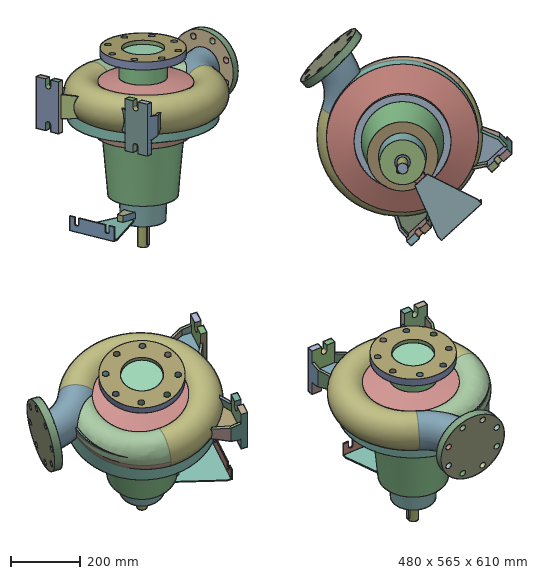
import cadquery as cq
import math


OVERALL_HEIGHT = 610.0
VOLUTE_WIDTH = 480.0
SUCTION_FACE_Z = 139.5
SHAFT_END_Z = SUCTION_FACE_Z - OVERALL_HEIGHT
DISCHARGE_FACE_Y = 315.0
MOUNTING_Y = -250.0

FLANGE_THICKNESS = 24.5
BOLT_COUNT = 8
BOLT_HOLE_DIAMETER = 19.0
SUCTION_FLANGE_RADIUS = 125.0
SUCTION_BOLT_CIRCLE_RADIUS = 105.0
SUCTION_BORE_RADIUS = 62.0
SUCTION_BORE_DEPTH = 13.0
DISCHARGE_FLANGE_RADIUS = 110.0
DISCHARGE_BOLT_CIRCLE_RADIUS = 90.0

TUBE_RADIUS = 57.5
SPIRAL_CENTER_X = 11.0
SPIRAL_RADIUS = VOLUTE_WIDTH / 2 - TUBE_RADIUS
TONGUE_TUBE_RADIUS = 45.0
TONGUE_ANGLE = 60.0
TONGUE_SECTIONS = 5

NECK_RADIUS = 70.0
CASING_RADIUS = 220.0
CASING_CONE_TOP_Z = 49.0
CASING_RIM_TOP_Z = 24.0
CASING_RIM_BOTTOM_Z = -75.5
COVER_RADIUS = 140.0
COVER_TOP_Z = -105.5
COVER_BOTTOM_Z = -122.5
HOUSING_TOP_RADIUS = 119.5
HOUSING_BOTTOM_RADIUS = 102.5
HOUSING_BOTTOM_Z = -312.5
BEARING_TOP_RADIUS = 69.5
BEARING_BOTTOM_RADIUS = 66.5
BEARING_BOTTOM_Z = -388.5
SLEEVE_RADIUS = 22.5
SLEEVE_BOTTOM_Z = -390.5
SHAFT_RADIUS = 16.0

KEY_OUTER_X = 20.0
KEY_WIDTH = 10.0
KEY_TOP_Z = -393.0
KEY_BOTTOM_Z = -464.0

FOOT_INNER_X = 120.0
FOOT_OUTER_X = 200.0
FOOT_HALF_HEIGHT = 80.0
FOOT_THICKNESS = 20.0
FOOT_SLOT_X = 157.5
FOOT_SLOT_WIDTH = 18.0
FOOT_SLOT_DEPTH = 29.0
BRACKET_THICKNESS = 8.0
BRACKET_HALF_HEIGHT = 36.5
BRACKET_TAPER_ANGLE = 10.0
OUTER_WALL_BEND_Y = -198.0
OUTER_WALL_ANGLE = 65.0
OUTER_WALL_LENGTH = 97.5
INNER_WALL_ANGLE = 30.0
INNER_WALL_LENGTH = 73.0

SUPPORT_HALF_WIDTH = 80.0
SUPPORT_TOP_Z = -324.0
SUPPORT_BOTTOM_Z = -368.5
SHEET_THICKNESS = 4.0
SUPPORT_SLOT_X = 55.0
SUPPORT_SLOT_WIDTH = 14.5
SUPPORT_SLOT_DEPTH = 25.0
SHEET_TAPER_START_Y = -233.5
SHEET_TIP_Y = -78.5
SHEET_TIP_HALF_WIDTH = 25.0
LUG_TOP_Z = -344.0
LUG_ROOT_Y = -64.0
LUG_ROOT_HALF_WIDTH = 20.0
LUG_TIP_Y = -112.0
LUG_TIP_HALF_WIDTH = 10.0


def flange(radius, bolt_circle_radius):
    """Flange disc with its bolt holes astride the centre lines, from Z = 0 upwards."""
    return (
        cq.Workplane("XY")
        .circle(radius)
        .extrude(FLANGE_THICKNESS)
        .faces(">Z")
        .workplane()
        .polarArray(bolt_circle_radius, 180 / BOLT_COUNT, 360, BOLT_COUNT)
        .hole(BOLT_HOLE_DIAMETER)
    )


def rotating_body():
    """Suction neck, casing, bearing housing and shaft as one turned profile."""
    profile = [
        (0, SUCTION_FACE_Z - FLANGE_THICKNESS),
        (NECK_RADIUS, SUCTION_FACE_Z - FLANGE_THICKNESS),
        (NECK_RADIUS, CASING_CONE_TOP_Z),
        (CASING_RADIUS, CASING_RIM_TOP_Z),
        (CASING_RADIUS, CASING_RIM_BOTTOM_Z),
        (COVER_RADIUS, COVER_TOP_Z),
        (COVER_RADIUS, COVER_BOTTOM_Z),
        (HOUSING_TOP_RADIUS, COVER_BOTTOM_Z),
        (HOUSING_BOTTOM_RADIUS, HOUSING_BOTTOM_Z),
        (BEARING_TOP_RADIUS, HOUSING_BOTTOM_Z),
        (BEARING_BOTTOM_RADIUS, BEARING_BOTTOM_Z),
        (SLEEVE_RADIUS, BEARING_BOTTOM_Z),
        (SLEEVE_RADIUS, SLEEVE_BOTTOM_Z),
        (SHAFT_RADIUS, SLEEVE_BOTTOM_Z),
        (SHAFT_RADIUS, SHAFT_END_Z),
        (0, SHAFT_END_Z),
    ]
    return cq.Workplane("XZ").polyline(profile).close().revolve(360, (0, 0), (0, 1))


def shaft_key():
    """Round-ended key standing out of the +X side of the shaft."""
    length = KEY_TOP_Z - KEY_BOTTOM_Z
    return (
        cq.Workplane("YZ")
        .center(0, (KEY_TOP_Z + KEY_BOTTOM_Z) / 2)
        .slot2D(length, KEY_WIDTH, 90)
        .extrude(KEY_OUTER_X)
    )


def tube_bend(center_x, center_y, bend_radius, start_angle, sweep_angle):
    """Length of volute tube bent about a vertical axis, with angles in degrees from +X."""
    return (
        cq.Workplane("XZ")
        .center(bend_radius, 0)
        .circle(TUBE_RADIUS)
        .revolve(sweep_angle, (-bend_radius, 0), (-bend_radius, 1))
        .rotate((0, 0, 0), (0, 0, 1), start_angle)
        .translate((center_x, center_y, 0))
    )


def volute_tube():
    """Round tube: half a turn, on to the outlet bend, then an opposite bend to the discharge."""
    start_x = SPIRAL_CENTER_X + SPIRAL_RADIUS
    center_distance = (start_x**2 + DISCHARGE_FACE_Y**2) / (2 * start_x)
    outlet_radius = center_distance - SPIRAL_RADIUS
    touch_angle = math.degrees(math.asin(DISCHARGE_FACE_Y / center_distance))
    spiral = tube_bend(SPIRAL_CENTER_X, 0, SPIRAL_RADIUS, 180, 180 + touch_angle)
    outlet = tube_bend(outlet_radius, DISCHARGE_FACE_Y, outlet_radius, 180, touch_angle)
    return spiral.union(outlet)


def volute_tongue():
    """Narrowing start of the volute, from the half-turn tube round to the outlet bend."""
    path_radius = SPIRAL_RADIUS - SPIRAL_CENTER_X
    sections = []
    for i in range(TONGUE_SECTIONS):
        fraction = i / (TONGUE_SECTIONS - 1)
        angle = math.radians(180 + fraction * (TONGUE_ANGLE - 180))
        radius = TUBE_RADIUS + fraction * (TONGUE_TUBE_RADIUS - TUBE_RADIUS)
        center = cq.Vector(path_radius * math.cos(angle), path_radius * math.sin(angle), 0)
        direction = cq.Vector(math.sin(angle), -math.cos(angle), 0)
        sections.append(cq.Wire.makeCircle(radius, center, direction))
    return cq.Workplane(cq.Solid.makeLoft(sections))


def end_slot(x, end_z, depth, width, thickness):
    """Cutter for a round-bottomed slot in a mounting plate, open at Z = end_z.

    A positive depth runs down from the end and a negative one runs up.
    """
    toward_open = math.copysign(1, depth)
    arc_z = end_z - depth + toward_open * width / 2
    channel_height = abs(end_z - arc_z)
    plane = cq.Workplane("XZ", origin=(0, MOUNTING_Y + thickness, 0))
    channel = plane.center(x, (end_z + arc_z) / 2).rect(width, channel_height).extrude(thickness)
    return channel.union(plane.center(x, arc_z).circle(width / 2).extrude(thickness))


def casing_foot():
    """Foot on the +X side: slotted plate and a tapered walled bracket with a middle web."""
    plate_back_y = MOUNTING_Y + FOOT_THICKNESS
    plate = cq.Workplane("XY").box(
        FOOT_OUTER_X - FOOT_INNER_X, FOOT_THICKNESS, 2 * FOOT_HALF_HEIGHT
    )
    plate = plate.translate(
        ((FOOT_OUTER_X + FOOT_INNER_X) / 2, MOUNTING_Y + FOOT_THICKNESS / 2, 0)
    )
    for end in (1, -1):
        plate = plate.cut(
            end_slot(
                FOOT_SLOT_X,
                end * FOOT_HALF_HEIGHT,
                end * FOOT_SLOT_DEPTH,
                FOOT_SLOT_WIDTH,
                FOOT_THICKNESS,
            )
        )

    root_y = plate_back_y - BRACKET_THICKNESS
    outer_angle = math.radians(OUTER_WALL_ANGLE)
    inner_angle = math.radians(INNER_WALL_ANGLE)
    outline = (
        cq.Workplane("XY", origin=(0, 0, -BRACKET_HALF_HEIGHT))
        .moveTo(FOOT_INNER_X, root_y)
        .lineTo(FOOT_OUTER_X, root_y)
        .lineTo(FOOT_OUTER_X, OUTER_WALL_BEND_Y)
        .line(-OUTER_WALL_LENGTH * math.cos(outer_angle), OUTER_WALL_LENGTH * math.sin(outer_angle))
        .lineTo(
            FOOT_INNER_X - INNER_WALL_LENGTH * math.cos(inner_angle),
            root_y + INNER_WALL_LENGTH * math.sin(inner_angle),
        )
        .close()
    )
    block = outline.extrude(2 * BRACKET_HALF_HEIGHT)
    walls = block.faces("|Z").shell(-BRACKET_THICKNESS, "intersection")
    slab_width = OVERALL_HEIGHT
    web_slab = cq.Workplane("XY").box(slab_width, slab_width, BRACKET_THICKNESS)
    bracket = walls.union(block.intersect(web_slab))

    slope = math.tan(math.radians(BRACKET_TAPER_ANGLE))
    reach = BRACKET_HALF_HEIGHT / slope
    wedge = (
        cq.Workplane("YZ")
        .polyline(
            [
                (root_y, -BRACKET_HALF_HEIGHT),
                (plate_back_y, -BRACKET_HALF_HEIGHT),
                (plate_back_y + reach, 0),
                (plate_back_y, BRACKET_HALF_HEIGHT),
                (root_y, BRACKET_HALF_HEIGHT),
            ]
        )
        .close()
        .extrude(FOOT_OUTER_X)
    )
    return plate.union(bracket.intersect(wedge))


def tapered_plate(root_y, root_half_width, tip_y, tip_half_width, bottom_z, top_z):
    """Flat plate, symmetric about X = 0, whose width changes evenly from root to tip."""
    return (
        cq.Workplane("XY", origin=(0, 0, bottom_z))
        .polyline(
            [
                (-root_half_width, root_y),
                (root_half_width, root_y),
                (tip_half_width, tip_y),
                (-tip_half_width, tip_y),
            ]
        )
        .close()
        .extrude(top_z - bottom_z)
    )


def bearing_support():
    """Bent sheet under a lug on the bearing housing, with a slotted upright mounting edge."""
    sheet_top_z = SUPPORT_BOTTOM_Z + SHEET_THICKNESS
    upright = (
        cq.Workplane("XZ", origin=(0, MOUNTING_Y + SHEET_THICKNESS, 0))
        .center(0, (SUPPORT_TOP_Z + SUPPORT_BOTTOM_Z) / 2)
        .rect(2 * SUPPORT_HALF_WIDTH, SUPPORT_TOP_Z - SUPPORT_BOTTOM_Z)
        .extrude(SHEET_THICKNESS)
    )
    for x in (-SUPPORT_SLOT_X, SUPPORT_SLOT_X):
        upright = upright.cut(
            end_slot(x, SUPPORT_TOP_Z, SUPPORT_SLOT_DEPTH, SUPPORT_SLOT_WIDTH, SHEET_THICKNESS)
        )
    band = tapered_plate(
        MOUNTING_Y,
        SUPPORT_HALF_WIDTH,
        SHEET_TAPER_START_Y,
        SUPPORT_HALF_WIDTH,
        SUPPORT_BOTTOM_Z,
        sheet_top_z,
    )
    sheet = tapered_plate(
        SHEET_TAPER_START_Y,
        SUPPORT_HALF_WIDTH,
        SHEET_TIP_Y,
        SHEET_TIP_HALF_WIDTH,
        SUPPORT_BOTTOM_Z,
        sheet_top_z,
    )
    lug = tapered_plate(
        LUG_ROOT_Y, LUG_ROOT_HALF_WIDTH, LUG_TIP_Y, LUG_TIP_HALF_WIDTH, sheet_top_z, LUG_TOP_Z
    )
    return upright.union(band).union(sheet).union(lug)


suction_flange = flange(SUCTION_FLANGE_RADIUS, SUCTION_BOLT_CIRCLE_RADIUS).translate(
    (0, 0, SUCTION_FACE_Z - FLANGE_THICKNESS)
)
discharge_flange = (
    flange(DISCHARGE_FLANGE_RADIUS, DISCHARGE_BOLT_CIRCLE_RADIUS)
    .rotate((0, 0, 0), (1, 0, 0), -90)
    .translate((0, DISCHARGE_FACE_Y - FLANGE_THICKNESS, 0))
)
suction_bore = (
    cq.Workplane("XY", origin=(0, 0, SUCTION_FACE_Z - SUCTION_BORE_DEPTH))
    .circle(SUCTION_BORE_RADIUS)
    .extrude(SUCTION_BORE_DEPTH)
)
right_foot = casing_foot()
left_foot = right_foot.mirror("YZ")

result = (
    rotating_body()
    .union(volute_tube())
    .union(volute_tongue())
    .union(suction_flange)
    .union(discharge_flange)
    .union(shaft_key())
    .union(right_foot)
    .union(left_foot)
    .union(bearing_support())
    .cut(suction_bore)
)